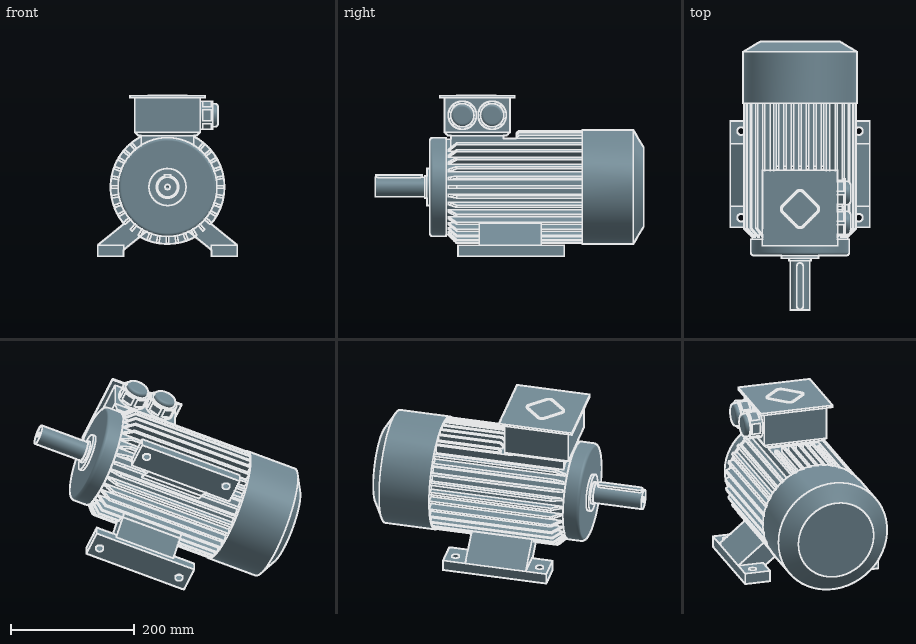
import cadquery as cq
import math


MOTOR_LENGTH = 435.0
COLLAR_FRONT = 80.0
BEARING_COVER_FRONT = 84.0
END_SHIELD_FRONT = 88.5
BODY_FRONT = 115.0
HOOD_FRONT = 335.0
HOOD_CONE_START = 418.0

SHAFT_DIA = 32.0
COLLAR_DIA = 36.0
BEARING_COVER_DIA = 60.0
END_SHIELD_DIA = 160.0
BODY_DIA = 155.0
FIN_DIA = 182.5
HOOD_DIA = 185.0
HOOD_REAR_DIA = 128.0
END_SHIELD_FILLET = 5.2

KEY_WIDTH = 10.0
KEY_TOP = 19.5
KEY_START = 1.5
KEY_LENGTH = 75.3
CENTRE_HOLE_DIA = 8.3
CENTRE_HOLE_ANGLE = 60.0

FIN_THICKNESS = 4.0
FIN_ROOT_DEPTH = 4.5
FIN_STEP = 10
FIN_FIRST_ANGLE = -230
FIN_LAST_ANGLE = 50
FIN_FRONT = 118.5
SADDLE_FIN_COUNT = 7
SADDLE_FIN_PITCH = 12.0
SADDLE_FIN_FRONT = 228.5
SADDLE_FIN_CHAMFER = 4.5

BOX_Y = 165.5
SADDLE_WIDTH = 85.5
SADDLE_TOP = 78.7
BOX_BOTTOM = 83.0
BOX_WIDTH = 106.0
BOX_CHAMFER = 5.5
LID_WIDTH = 122.0
LID_BOTTOM = 144.5
LID_TOP = 148.0

FRAME_Y = 163.5
FRAME_SIDE = 49.0
FRAME_CORNER_RADIUS = 8.3
FRAME_LINE = 2.0
FRAME_HEIGHT = 1.0

GLAND_PITCH = 48.5
GLAND_Z = 116.0
GLAND_NUT_DIA = 45.5
GLAND_ACROSS_FLATS = 42.0
GLAND_FLATS_START = 57.0
GLAND_FLATS_END = 71.0
GLAND_NUT_END = 73.5
GLAND_CAP_DIA = 38.0
GLAND_END = 81.8
GLAND_CAP_FILLET = 5.2

BASE_Z = -112.2
PAD_HEIGHT = 18.3
PAD_OUTER_X = 113.0
PAD_WIDTH = 42.0
PAD_START = 134.0
PAD_LENGTH = 172.3
LEG_START = 168.5
LEG_LENGTH = 101.0
LEG_ANGLE = 39.0
LEG_RUN = 78.5
LEG_FOOT_DROP = 8.0
FOOT_HOLE_DIA = 12.0
FOOT_HOLE_X = 95.3
FOOT_HOLE_START = 149.5
FOOT_HOLE_SPACING = 140.0


def turned(diameter, start, end):
    """Cylinder on the shaft axis between two stations."""
    return (
        cq.Workplane("XZ", origin=(0, start, 0))
        .circle(diameter / 2)
        .extrude(start - end)
    )


def block(width, depth, z_bottom, z_top, y_centre):
    """Box centred on X = 0, between two heights."""
    return (
        cq.Workplane("XY", origin=(0, y_centre, z_bottom))
        .rect(width, depth)
        .extrude(z_top - z_bottom)
    )


def fin_plate(profile, x_centre=0.0):
    """Plate of fin thickness from a (Y, Z) outline, centred on x_centre."""
    return (
        cq.Workplane("YZ", origin=(x_centre, 0, 0))
        .polyline(profile)
        .close()
        .extrude(FIN_THICKNESS / 2, both=True)
    )


def make_housing():
    end_shield = (
        turned(END_SHIELD_DIA, END_SHIELD_FRONT, BODY_FRONT)
        .faces("<Y").edges().fillet(END_SHIELD_FILLET)
    )
    hood = (
        cq.Workplane("XY")
        .moveTo(0, HOOD_FRONT)
        .lineTo(HOOD_DIA / 2, HOOD_FRONT)
        .lineTo(HOOD_DIA / 2, HOOD_CONE_START)
        .lineTo(HOOD_REAR_DIA / 2, MOTOR_LENGTH)
        .lineTo(0, MOTOR_LENGTH)
        .close()
        .revolve(360, (0, 0, 0), (0, 1, 0))
    )
    return (
        turned(BODY_DIA, BODY_FRONT, HOOD_FRONT)
        .union(end_shield)
        .union(turned(BEARING_COVER_DIA, BEARING_COVER_FRONT, END_SHIELD_FRONT))
        .union(hood)
    )


def make_shaft():
    key = (
        cq.Workplane("XY", origin=(0, KEY_START + KEY_LENGTH / 2, 0))
        .slot2D(KEY_LENGTH, KEY_WIDTH, 90)
        .extrude(KEY_TOP)
    )
    hole_radius = CENTRE_HOLE_DIA / 2
    hole_depth = hole_radius / math.tan(math.radians(CENTRE_HOLE_ANGLE / 2))
    centre_hole = cq.Workplane(
        obj=cq.Solid.makeCone(hole_radius, 0, hole_depth, cq.Vector(0, 0, 0), cq.Vector(0, 1, 0))
    )
    return (
        turned(SHAFT_DIA, 0, COLLAR_FRONT)
        .union(turned(COLLAR_DIA, COLLAR_FRONT, BEARING_COVER_FRONT))
        .union(key)
        .cut(centre_hole)
    )


def make_radial_fins():
    """Radial fins whose front ends slope down to the body at 45 degrees."""
    root = BODY_DIA / 2 - FIN_ROOT_DEPTH
    tip = FIN_DIA / 2
    slope = (FIN_DIA - BODY_DIA) / 2
    fin = fin_plate([
        (FIN_FRONT, root),
        (FIN_FRONT, BODY_DIA / 2),
        (FIN_FRONT + slope, tip),
        (HOOD_FRONT, tip),
        (HOOD_FRONT, root),
    ])
    fins = cq.Workplane("XY")
    for angle in range(FIN_FIRST_ANGLE, FIN_LAST_ANGLE + 1, FIN_STEP):
        fins = fins.add(fin.rotate((0, 0, 0), (0, 1, 0), 90 - angle))
    return fins.combine()


def make_saddle():
    """Flat-topped block on the body with upright fins behind the terminal box."""
    front = BOX_Y - SADDLE_WIDTH / 2
    saddle = block(SADDLE_WIDTH, HOOD_FRONT - front, 0, SADDLE_TOP, (front + HOOD_FRONT) / 2)
    for index in range(SADDLE_FIN_COUNT):
        x = (index - (SADDLE_FIN_COUNT - 1) / 2) * SADDLE_FIN_PITCH
        tip = math.sqrt((FIN_DIA / 2) ** 2 - x ** 2)
        saddle = saddle.union(fin_plate([
            (SADDLE_FIN_FRONT, 0),
            (SADDLE_FIN_FRONT, tip - SADDLE_FIN_CHAMFER),
            (SADDLE_FIN_FRONT + SADDLE_FIN_CHAMFER, tip),
            (HOOD_FRONT, tip),
            (HOOD_FRONT, 0),
        ], x))
    return saddle


def make_terminal_box():
    pedestal = block(SADDLE_WIDTH, SADDLE_WIDTH, 0, BOX_BOTTOM, BOX_Y)
    box = (
        block(BOX_WIDTH, BOX_WIDTH, BOX_BOTTOM, LID_BOTTOM, BOX_Y)
        .faces("<Z").edges().chamfer(BOX_CHAMFER)
    )
    lid = block(LID_WIDTH, LID_WIDTH, LID_BOTTOM, LID_TOP, BOX_Y)
    return pedestal.union(box).union(lid).union(make_lid_frame())


def make_lid_frame():
    """Raised outline of a square standing on its corner, with rounded corners."""
    def rounded_square(inset):
        side = FRAME_SIDE - 2 * inset
        return (
            block(side, side, LID_TOP, LID_TOP + FRAME_HEIGHT, FRAME_Y)
            .edges("|Z").fillet(FRAME_CORNER_RADIUS - inset)
        )
    frame = rounded_square(0).cut(rounded_square(FRAME_LINE))
    return frame.rotate((0, FRAME_Y, 0), (0, FRAME_Y, 1), 45)


def make_gland(y):
    """Round nut with six flats between two rims, and a rounded cap."""
    wall = BOX_WIDTH / 2

    def along_x(start):
        return cq.Workplane("YZ", origin=(start, y, GLAND_Z))

    flats_length = GLAND_FLATS_END - GLAND_FLATS_START
    hexagon_dia = GLAND_ACROSS_FLATS / math.cos(math.radians(30))
    core = along_x(GLAND_FLATS_START).polygon(6, hexagon_dia).extrude(flats_length)
    core = core.rotate((0, y, GLAND_Z), (1, y, GLAND_Z), 30)
    grip = along_x(GLAND_FLATS_START).circle(GLAND_NUT_DIA / 2).extrude(flats_length).intersect(core)
    flange = along_x(wall).circle(GLAND_NUT_DIA / 2).extrude(GLAND_FLATS_START - wall)
    rim = along_x(GLAND_FLATS_END).circle(GLAND_NUT_DIA / 2).extrude(GLAND_NUT_END - GLAND_FLATS_END)
    cap = (
        along_x(GLAND_NUT_END).circle(GLAND_CAP_DIA / 2).extrude(GLAND_END - GLAND_NUT_END)
        .faces(">X").edges().fillet(GLAND_CAP_FILLET)
    )
    return flange.union(grip).union(rim).union(cap)


def make_foot():
    """Foot on the +X side: drilled pad and a slanted leg running into the body."""
    pad_inner = PAD_OUTER_X - PAD_WIDTH
    pad_top = BASE_Z + PAD_HEIGHT
    pad = (
        cq.Workplane("XY", origin=(pad_inner, PAD_START, BASE_Z))
        .rect(PAD_WIDTH, PAD_LENGTH, centered=False)
        .extrude(PAD_HEIGHT)
    )
    rise = LEG_RUN * math.tan(math.radians(LEG_ANGLE))
    leg = (
        cq.Workplane("XZ", origin=(0, LEG_START, 0))
        .polyline([
            (PAD_OUTER_X, pad_top),
            (PAD_OUTER_X - LEG_RUN, pad_top + rise),
            (pad_inner - LEG_RUN / 2, pad_top - LEG_FOOT_DROP + rise / 2),
            (pad_inner, pad_top - LEG_FOOT_DROP),
        ])
        .close()
        .extrude(-LEG_LENGTH)
    )
    holes = (
        cq.Workplane("XY", origin=(FOOT_HOLE_X, 0, BASE_Z))
        .pushPoints([(0, FOOT_HOLE_START), (0, FOOT_HOLE_START + FOOT_HOLE_SPACING)])
        .circle(FOOT_HOLE_DIA / 2)
        .extrude(PAD_HEIGHT)
    )
    return pad.union(leg).cut(holes)


right_foot = make_foot()

result = (
    make_housing()
    .union(make_shaft())
    .union(make_radial_fins())
    .union(make_saddle())
    .union(make_terminal_box())
    .union(make_gland(BOX_Y - GLAND_PITCH / 2))
    .union(make_gland(BOX_Y + GLAND_PITCH / 2))
    .union(right_foot)
    .union(right_foot.mirror("YZ"))
)